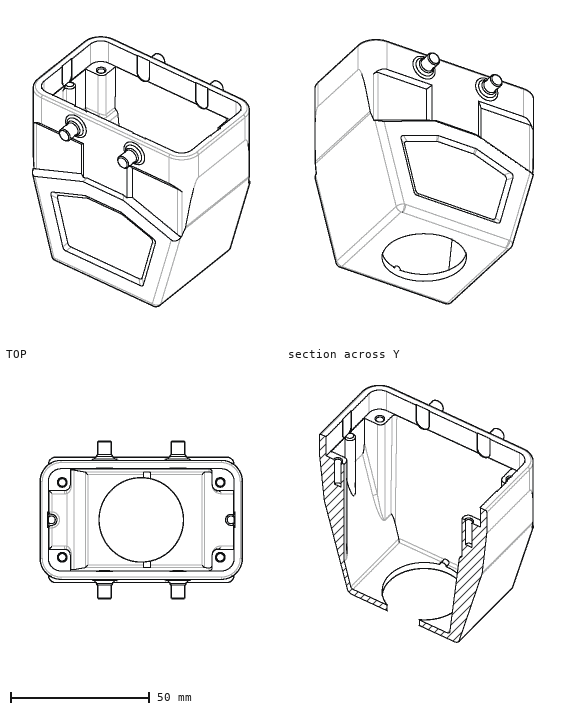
import cadquery as cq
import math

height = 72.0
rim_length = 73.0
rim_width = 42.9
rim_corner_radius = 7.6
rim_edge_radius = 0.8
wall = 3.0

lower_width = 45.3
lower_bottom_length = 48.0
lower_edge_radius = 2.2
side_knee_z = 40.1
side_knee_length = 69.0
side_slope_top_z = 60.9
side_knee_radius = 5.0

ridge_half_length = 9.2
ridge_z = 43.05
roof_slope = math.tan(math.radians(19.8))
roof_bevel_rise = 1.9
ridge_bevel_rise = 2.6

panel_depth = 1.1
panel_bevel = 1.8
panel_top_z = 59.3
panel_gap = 19.6
panel_end_radius = 2.6

recess_bottom_z = 7.9
recess_bottom_half = 18.0
recess_shoulder_half = 24.0
recess_shoulder_z = 31.5
recess_top_half = 8.1
recess_top_z = 37.2
recess_corner_radius = 3.0

pin_spacing = 26.5
pin_z = 65.65
pin_diameter = 5.0
pin_span = 57.0
pin_tip_chamfer = 0.4
pin_foot_diameter = 9.4
pin_foot_height = 0.5
pin_cone_base_diameter = 7.4
pin_cone_height = 0.95
pin_cone_tip_diameter = 5.8
pin_neck_height = 0.6
pin_blend_sagitta = 0.1

floor_thickness = 3.0
boss_top_z = 62.6
bay_end_x = 33.3
bay_half_width = 10.6
boss_inner_x = 25.6
boss_edge_radius = 2.0
cavity_half_width_top = 18.35
cavity_half_width_bottom = 17.2
cavity_floor_left = -20.1
cavity_floor_right = 22.6
shelf_z = 44.0
shelf_edge_x = -24.5
right_slope_top_z = 45.8
cavity_floor_radius = 0.95
shelf_edge_radius = 2.6
bay_floor_radius = 1.2
bore_diameter = 30.4

screw_pitch_x = 57.0
screw_pitch_y = 27.0
screw_hole_diameter = 2.7
screw_lead_in_diameter = 3.5
screw_hole_depth = 12.0

peg_x = 32.4
peg_diameter = 4.0
peg_chamfer = 0.6
peg_foot_radius = 0.9
relief_width = 5.6
relief_depth = 0.25
relief_bottom_z = 61.8
floor_rib_x = 2.05
floor_rib_width = 2.6

knee_half = side_knee_length / 2
rim_half = rim_length / 2
bottom_half = lower_bottom_length / 2
sleeve_base_z = side_knee_z / 2
tolerance = 0.1
opening_length = rim_length - 2 * wall
opening_width = rim_width - 2 * wall
panel_floor_y = rim_width / 2 - panel_depth


def mirrored(right_half):
    """Close a symmetric X-Z outline from its right half, listed bottom to top."""
    return right_half + [(-x, z) for x, z in reversed(right_half)]


def end_half_length(z):
    """Half length of the part at height z along the steep lower end faces."""
    return bottom_half + (knee_half - bottom_half) * z / side_knee_z


def extrude_xz(points, half_width):
    return cq.Workplane("XZ").polyline(points).close().extrude(half_width, both=True)


def loft_xz(inner_points, inner_y, outer_points, outer_y):
    """Ruled solid between two X-Z outlines lying at -inner_y and -outer_y."""
    return (
        cq.Workplane("XZ", origin=(0, -inner_y, 0)).polyline(inner_points).close()
        .workplane(offset=outer_y - inner_y).polyline(outer_points).close()
        .loft(ruled=True)
    )


def symmetric_zone(x_range, z_range):
    """Edge selector for a box spanning the full width of the part."""
    return cq.selectors.BoxSelector(
        (x_range[0], -rim_width, z_range[0]), (x_range[1], rim_width, z_range[1])
    )


def front_and_back(solid):
    return solid.union(solid.mirror("XZ"))


def make_upper_body():
    """Rounded sleeve whose ends lean inwards below side_slope_top_z."""
    base_half = end_half_length(sleeve_base_z)
    sleeve = (
        cq.Workplane("XY").workplane(offset=sleeve_base_z)
        .rect(rim_length, rim_width).extrude(height - sleeve_base_z)
        .edges("|Z").fillet(rim_corner_radius)
        .faces(">Z").edges().fillet(rim_edge_radius)
    )
    profile = mirrored([
        (base_half, sleeve_base_z),
        (knee_half, side_knee_z),
        (rim_half, side_slope_top_z),
        (rim_half, height),
    ])
    sleeve = sleeve.intersect(extrude_xz(profile, rim_width))
    knee_zone = symmetric_zone(
        (-rim_half, rim_half), (side_knee_z - tolerance, side_knee_z + tolerance)
    )
    return sleeve.edges("|Y").edges(knee_zone).fillet(side_knee_radius)


def side_panel_cut():
    """Bevelled shallow panel below the rim, open towards the end of the part."""
    outer_x = rim_length
    inner_edge = panel_gap / 2

    def outline(inset):
        left = inner_edge + inset
        top = panel_top_z - inset
        return [(left, sleeve_base_z), (outer_x, sleeve_base_z), (outer_x, top), (left, top)]

    panel = loft_xz(outline(panel_bevel), panel_floor_y, outline(0), rim_width / 2)
    return panel.union(panel.mirror("YZ"))


def round_panel_ends(body):
    """Round the upright edges where the side panels run out into the corners."""
    for side in (-1, 1):
        ends = (side * (rim_half - rim_corner_radius), side * rim_half)
        zone = symmetric_zone(ends, (sleeve_base_z, panel_top_z))
        body = body.edges("|Z").edges(zone).fillet(panel_end_radius)
    return body


def make_lower_body():
    """Wide tapering body under a bevelled, roof shaped shoulder."""
    top_half = end_half_length(height)
    taper = [(-bottom_half, 0), (bottom_half, 0), (top_half, height), (-top_half, height)]
    body = extrude_xz(taper, lower_width / 2)
    body = body.edges("not #Z").fillet(lower_edge_radius)
    body = body.faces("<Z").edges().fillet(lower_edge_radius)
    eave_x = rim_length
    eave_z = ridge_z - roof_slope * (eave_x - ridge_half_length)

    def roof(roof_rise, ridge_rise):
        half = ridge_half_length - (ridge_rise - roof_rise) / roof_slope
        return mirrored([
            (eave_x, -height),
            (eave_x, eave_z + roof_rise),
            (half, ridge_z + ridge_rise),
        ])

    inner_roof = roof(roof_bevel_rise, ridge_bevel_rise)
    cap = front_and_back(loft_xz(inner_roof, panel_floor_y, roof(0, 0), lower_width / 2))
    core = extrude_xz(inner_roof, panel_floor_y)
    roofs = core.union(cap)
    return body.intersect(roofs)


def face_recess_cut():
    """Six sided recess with bevelled walls in the broad face."""
    outline = mirrored([
        (recess_bottom_half, recess_bottom_z),
        (recess_shoulder_half, recess_shoulder_z),
        (recess_top_half, recess_top_z),
    ])
    taper = math.degrees(math.atan(panel_bevel / panel_depth))
    recess = (
        cq.Workplane("XZ", origin=(0, -lower_width / 2, 0))
        .polyline(outline).close().extrude(-panel_depth, taper=taper)
    )
    return recess.edges("not #Y").fillet(recess_corner_radius)


def make_pin():
    """Locking pin on the front wall, flared into the wall at its root."""
    radius = pin_diameter / 2
    wall_y = rim_width / 2
    tip_y = pin_span / 2
    root_y = wall_y - wall / 2
    cone_start_y = wall_y + pin_foot_height
    cone_end_y = cone_start_y + pin_cone_height
    shank_y = cone_end_y + pin_neck_height
    half_section = (
        cq.Workplane("XY")
        .moveTo(0, -root_y)
        .lineTo(pin_foot_diameter / 2, -root_y)
        .lineTo(pin_foot_diameter / 2, -wall_y)
        .sagittaArc((pin_cone_base_diameter / 2, -cone_start_y), pin_blend_sagitta)
        .lineTo(pin_cone_tip_diameter / 2, -cone_end_y)
        .sagittaArc((radius, -shank_y), pin_blend_sagitta)
        .lineTo(radius, -tip_y + pin_tip_chamfer)
        .lineTo(radius - pin_tip_chamfer, -tip_y)
        .lineTo(0, -tip_y)
        .close()
    )
    return half_section.revolve(360, (0, 0, 0), (0, 1, 0))


def round_bays(cavity):
    """Round the shelf edge, then the feet of the bosses in both end bays."""
    shelf_range = (shelf_z - tolerance, shelf_z + tolerance)
    shelf_edge = symmetric_zone((shelf_edge_x - tolerance, shelf_edge_x + tolerance), shelf_range)
    shelf_bay = symmetric_zone((-rim_half, -boss_inner_x + tolerance), shelf_range)
    slope_bay = symmetric_zone(
        (boss_inner_x - tolerance, bay_end_x - tolerance),
        (2 * floor_thickness, right_slope_top_z - tolerance),
    )
    cavity = cavity.edges(shelf_edge).fillet(shelf_edge_radius)
    cavity = cavity.edges(slope_bay).edges("not |Z").fillet(bay_floor_radius)
    return cavity.edges(shelf_bay).fillet(bay_floor_radius)


def make_cavity():
    """Rim opening above a stepped cavity with a sloping end and a shelf at the other."""
    opening = (
        cq.Workplane("XY").workplane(offset=boss_top_z)
        .rect(opening_length, opening_width).extrude(height - boss_top_z)
        .edges("|Z").fillet(rim_corner_radius - wall)
    )
    plan_height = boss_top_z - floor_thickness
    plan = (
        cq.Workplane("XY").workplane(offset=floor_thickness)
        .rect(2 * boss_inner_x, 2 * cavity_half_width_top).extrude(plan_height)
        .union(
            cq.Workplane("XY").workplane(offset=floor_thickness)
            .rect(2 * bay_end_x, 2 * bay_half_width).extrude(plan_height)
        )
    )
    boss_edges = cq.selectors.BoxSelector(
        (-boss_inner_x - tolerance, -bay_half_width - tolerance, 0),
        (boss_inner_x + tolerance, bay_half_width + tolerance, height),
    )
    plan = plan.edges("|Z").edges(boss_edges).fillet(boss_edge_radius)
    length_profile = [
        (cavity_floor_left, floor_thickness),
        (cavity_floor_right, floor_thickness),
        (bay_end_x, right_slope_top_z),
        (bay_end_x, boss_top_z),
        (-bay_end_x, boss_top_z),
        (-bay_end_x, shelf_z),
        (shelf_edge_x, shelf_z),
    ]
    width_profile = [
        (-cavity_half_width_bottom, floor_thickness),
        (cavity_half_width_bottom, floor_thickness),
        (cavity_half_width_top, boss_top_z),
        (-cavity_half_width_top, boss_top_z),
    ]
    lower = (
        plan.intersect(extrude_xz(length_profile, lower_width))
        .intersect(cq.Workplane("YZ").polyline(width_profile).close().extrude(rim_length, both=True))
        .faces("<Z").edges().fillet(cavity_floor_radius)
    )
    return opening.union(round_bays(lower))


def relief_cut(half_span):
    """Shallow round-bottomed grooves in two facing walls, reaching the rim."""
    radius = relief_width / 2
    straight = height - relief_bottom_z - radius
    depth = 2 * (half_span + relief_depth)
    groove = (
        cq.Workplane("XZ", origin=(0, depth / 2, relief_bottom_z + radius))
        .circle(radius).extrude(depth)
    )
    slot = cq.Workplane("XY").box(relief_width, depth, straight, centered=(True, True, False))
    return groove.union(slot.translate((0, 0, relief_bottom_z + radius)))


def make_peg():
    """Round upright peg with a bevelled tip."""
    return (
        cq.Workplane("XY").workplane(offset=floor_thickness)
        .circle(peg_diameter / 2).extrude(boss_top_z - floor_thickness)
        .faces(">Z").chamfer(peg_chamfer)
    )


def make_floor_rib():
    """Low half-round rib across the floor, which the bore later splits into two."""
    return (
        cq.Workplane("XZ", origin=(floor_rib_x, 0, floor_thickness))
        .circle(floor_rib_width / 2).extrude(cavity_half_width_top, both=True)
    )


def screw_hole_cuts():
    """Blind screw holes with a conical lead-in, one in each boss."""
    lead_in = (screw_lead_in_diameter - screw_hole_diameter) / 2
    radius = screw_hole_diameter / 2
    half_section = [
        (0, boss_top_z),
        (radius + lead_in, boss_top_z),
        (radius, boss_top_z - lead_in),
        (radius, boss_top_z - screw_hole_depth),
        (0, boss_top_z - screw_hole_depth),
    ]
    hole = cq.Workplane("XZ").polyline(half_section).close().revolve(360, (0, 0, 0), (0, 1, 0))
    centres = cq.Workplane("XY").rect(screw_pitch_x, screw_pitch_y, forConstruction=True).vertices()
    return centres.eachpoint(hole.val(), combine=False)


upper_body = make_upper_body()
upper_body = upper_body.cut(front_and_back(side_panel_cut()))
upper_body = round_panel_ends(upper_body)
lower_body = make_lower_body().cut(front_and_back(face_recess_cut()))
shell = upper_body.union(lower_body)

pin = front_and_back(make_pin())
for side in (-1, 1):
    shell = shell.union(pin.translate((side * pin_spacing / 2, 0, pin_z)))

result = shell.cut(make_cavity())
for side in (-1, 1):
    result = result.cut(relief_cut(opening_width / 2).translate((side * pin_spacing / 2, 0, 0)))
result = result.cut(relief_cut(opening_length / 2).rotate((0, 0, 0), (0, 0, 1), 90))

peg_zone = cq.Workplane("XY").box(opening_length, opening_width, 2 * height)
for side in (-1, 1):
    peg = make_peg().translate((side * peg_x, 0, 0))
    result = result.union(peg.intersect(peg_zone).intersect(shell))

shelf_peg_foot = symmetric_zone(
    (-rim_half, -peg_x + peg_diameter), (shelf_z - tolerance, shelf_z + tolerance)
)
result = result.edges("%CIRCLE").edges(shelf_peg_foot).fillet(peg_foot_radius)

result = result.union(make_floor_rib())
result = result.cut(cq.Workplane("XY").circle(bore_diameter / 2).extrude(boss_top_z))
result = result.cut(screw_hole_cuts())